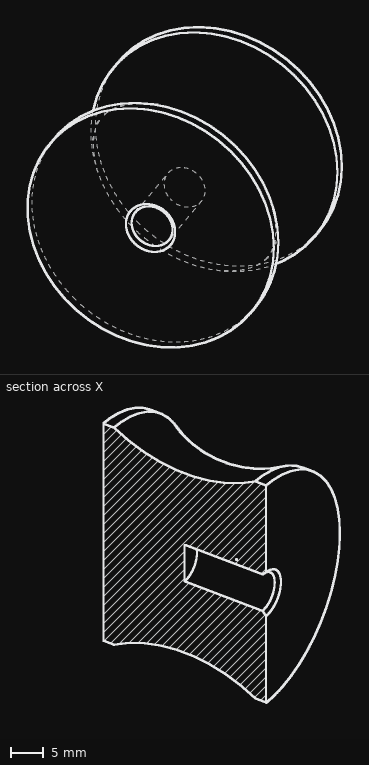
import cadquery as cq

outer_diameter = 40.0
width = 30.0
rim_width = 2.0
groove_radius = 26.0

hole_diameter = 6.65
hole_mouth_diameter = 8.0
hole_depth = 15.0

outer_radius = outer_diameter / 2
half_width = width / 2
groove_half_width = half_width - rim_width
groove_depth = groove_radius - (groove_radius**2 - groove_half_width**2) ** 0.5
waist_radius = outer_radius - groove_depth
countersink_depth = (hole_mouth_diameter - hole_diameter) / 2


def roller_body():
    """Two cylindrical rims joined by a circular-arc groove."""
    return (
        cq.Workplane("XY")
        .moveTo(0, -half_width)
        .lineTo(outer_radius, -half_width)
        .lineTo(outer_radius, -groove_half_width)
        .threePointArc((waist_radius, 0), (outer_radius, groove_half_width))
        .lineTo(outer_radius, half_width)
        .lineTo(0, half_width)
        .close()
        .revolve(360, (0, 0), (0, 1))
    )


def centre_hole():
    """Flat-bottomed hole with a countersunk mouth, as a solid to cut away."""
    hole_radius = hole_diameter / 2
    return (
        cq.Workplane("XY")
        .moveTo(0, -half_width)
        .lineTo(hole_mouth_diameter / 2, -half_width)
        .lineTo(hole_radius, -half_width + countersink_depth)
        .lineTo(hole_radius, -half_width + hole_depth)
        .lineTo(0, -half_width + hole_depth)
        .close()
        .revolve(360, (0, 0), (0, 1))
    )


result = roller_body().cut(centre_hole())